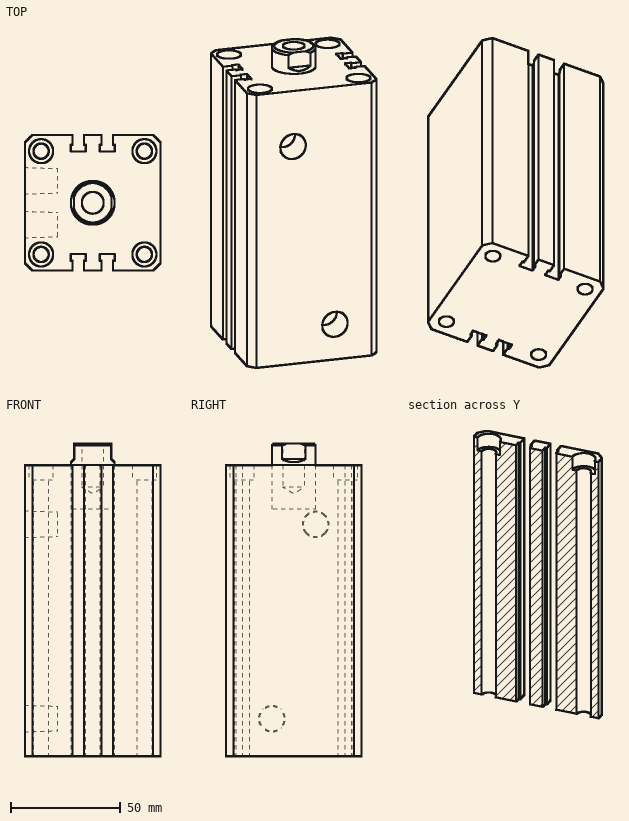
import cadquery as cq
import math

side = 62.0
housing_height = 133.0
corner_round_diameter = 83.0
half_side = side / 2

bolt_spacing = 47.2
bolt_diameter = 6.9
counterbore_diameter = 11.0
counterbore_depth = 6.7

slot_spacing = 13.2
slot_mouth_width = 5.1
slot_inner_width = 6.7
slot_neck_depth = 4.6
slot_depth = 7.6

port_offset = 10.0
upper_port_height = 106.0
lower_port_height = 17.2
port_mouth_diameter = 12.2
port_depth = 15.0
port_taper = 1 / 16

rod_diameter = 20.0
rod_projection = 10.0
rod_insertion = 20.0
rod_chamfer = 1.0
rod_length = rod_insertion + rod_projection
rod_bottom = housing_height - rod_insertion
rod_top = housing_height + rod_projection
rod_radius = rod_diameter / 2

flat_width = 17.0
flat_length = 7.2

rod_hole_diameter = 10.0
rod_hole_depth = 20.0
drill_point_angle = 118


def make_slot(sign_x, sign_y):
    """T-slot cutter running the full height, open towards the -Y or +Y face."""
    centre_x = sign_x * slot_spacing / 2
    neck = (
        cq.Workplane("XY")
        .center(centre_x, sign_y * (half_side - slot_neck_depth / 2))
        .rect(slot_mouth_width, slot_neck_depth)
        .extrude(housing_height)
    )
    inner_length = slot_depth - slot_neck_depth
    inner = (
        cq.Workplane("XY")
        .center(centre_x, sign_y * (half_side - slot_neck_depth - inner_length / 2))
        .rect(slot_inner_width, inner_length)
        .extrude(housing_height)
    )
    return neck.union(inner)


def make_port(centre_y, centre_z):
    """Tapered port cutter going from the -X face towards +X."""
    floor_diameter = port_mouth_diameter - port_taper * port_depth
    cone = cq.Solid.makeCone(
        port_mouth_diameter / 2,
        floor_diameter / 2,
        port_depth,
        cq.Vector(-half_side, centre_y, centre_z),
        cq.Vector(1, 0, 0),
    )
    return cq.Workplane(cone)


def make_housing():
    body = cq.Workplane("XY").rect(side, side).extrude(housing_height)
    corner_round = cq.Workplane("XY").circle(corner_round_diameter / 2).extrude(housing_height)
    body = body.intersect(corner_round)
    body = (
        body.faces(">Z")
        .workplane()
        .rect(bolt_spacing, bolt_spacing, forConstruction=True)
        .vertices()
        .cboreHole(bolt_diameter, counterbore_diameter, counterbore_depth)
    )
    for sign_x in (-1, 1):
        for sign_y in (-1, 1):
            body = body.cut(make_slot(sign_x, sign_y))
    body = body.cut(make_port(port_offset, upper_port_height))
    body = body.cut(make_port(-port_offset, lower_port_height))
    rod_bore = cq.Workplane("XY", origin=(0, 0, rod_bottom)).circle(rod_radius).extrude(rod_insertion)
    return body.cut(rod_bore)


def make_flat_cutter(sign_x):
    """Cutter for one wrench flat, with its lower end sloping down and outwards at 45 degrees."""
    flat_x = flat_width / 2
    flat_bottom = rod_top - flat_length
    slope = rod_radius - flat_x
    return (
        cq.Workplane("XZ")
        .moveTo(sign_x * flat_x, rod_top)
        .lineTo(sign_x * flat_x, flat_bottom)
        .lineTo(sign_x * rod_radius, flat_bottom - slope)
        .lineTo(sign_x * rod_radius, rod_top)
        .close()
        .extrude(rod_radius, both=True)
    )


def make_rod():
    rod = cq.Workplane("XY", origin=(0, 0, rod_bottom)).circle(rod_radius).extrude(rod_length)
    rod = rod.faces(">Z").chamfer(rod_chamfer)
    for sign_x in (-1, 1):
        rod = rod.cut(make_flat_cutter(sign_x))

    hole_radius = rod_hole_diameter / 2
    point_length = hole_radius / math.tan(math.radians(drill_point_angle / 2))
    hole_floor = rod_top - rod_hole_depth
    hole = (
        cq.Workplane("XZ")
        .moveTo(0, rod_top)
        .lineTo(hole_radius, rod_top)
        .lineTo(hole_radius, hole_floor)
        .lineTo(0, hole_floor - point_length)
        .close()
        .revolve(360, (0, 0, 0), (0, 1, 0))
    )
    return rod.cut(hole)


housing = make_housing()
rod = make_rod()

result = cq.Compound.makeCompound([housing.val(), rod.val()])